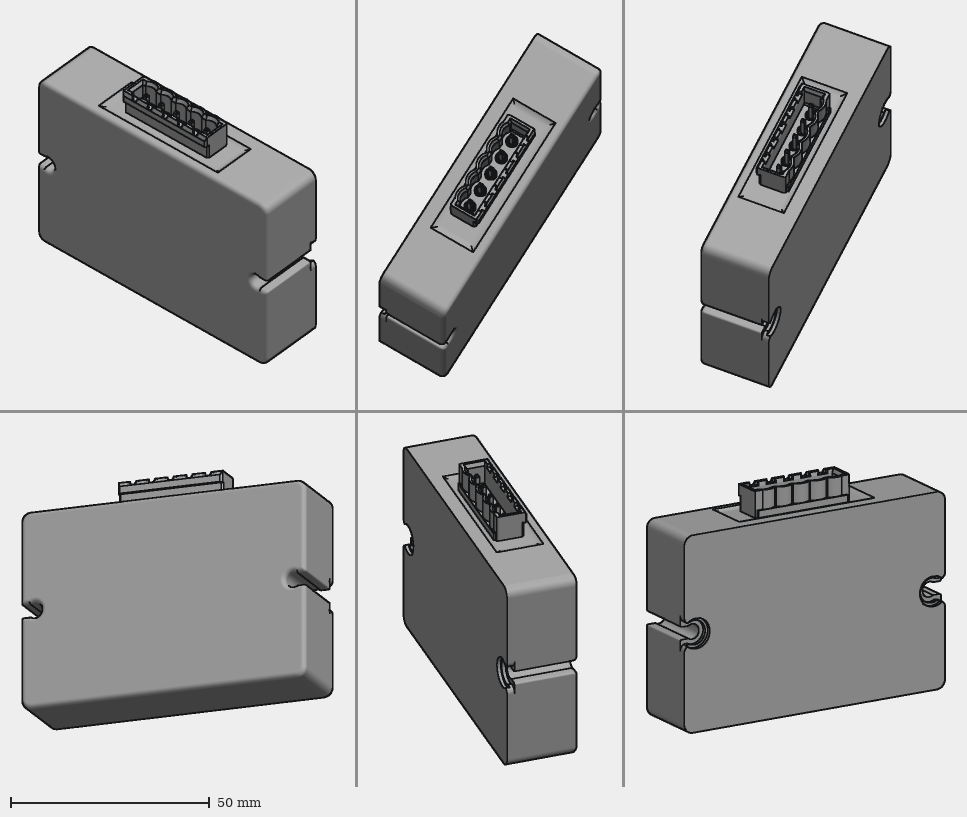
import cadquery as cq

BODY_X = 77.0
BODY_Y = 19.0
BODY_Z = 52.0
CORNER_R = 2.5
FRONT_EDGE_R = 1.25
FRONT_Y = -BODY_Y / 2
BACK_Y = BODY_Y / 2
TOP_Z = BODY_Z / 2

SLOT_DEPTH_TO_CENTER = 3.5
SLOT_CENTER_X = BODY_X / 2 - SLOT_DEPTH_TO_CENTER
SLOT_R = 2.0
SLOT_WIDTH = 3.35
SLOT_MOUTH_R = 0.5
SEAT_R = SLOT_R + FRONT_EDGE_R
SEAT_WIDTH = 5.8
SEAT_DEPTH = 2.0
SEAT_MOUTH_R = 1.65
SEAT_STEP_R = 4.0
SEAT_STEP_DEPTH = 1.0

RECESS_X = 40.0
RECESS_Y = 12.5
RECESS_CENTER_Y = -0.65
RECESS_INSET = 1.8
RECESS_DEPTH = 0.5

PIN_COUNT = 5
PITCH = 5.08
PIN_XS = [(i - (PIN_COUNT - 1) / 2) * PITCH for i in range(PIN_COUNT)]
HEADER_X = 28.15
HEADER_HEIGHT = 6.5
HEADER_TOP = TOP_Z + HEADER_HEIGHT
HEADER_BASE = TOP_Z - RECESS_DEPTH
HEADER_FRONT_Y = -3.9
HEADER_END_Y = 3.42
SCALLOP_VALLEY_Y = 2.94
SCALLOP_R = 3.75
HEADER_CORNER = 0.5
REAR_CORNER_X = 0.2
REAR_CORNER_Y = 0.7

FLANGE_X = 26.4
FLANGE_BACK_Y = 3.95
FLANGE_HEIGHT = 1.4

LIP_FRONT_Y = -4.75
LIP_HEIGHT = 3.0
LIP_SLOPE_Y = 0.55
LIP_SLOPE_Z = 1.15
NOTCH_TOP_WIDTH = 1.75
NOTCH_BOTTOM_WIDTH = 1.2
NOTCH_DEPTH = 1.0
RELIEF_WIDTH = 2.8
RELIEF_FRONT_Y = -4.0

CAVITY_FLOOR = TOP_Z
CAVITY_X = 25.6
CAVITY_FRONT_Y = -3.06
CAVITY_BACK_Y = 1.74
CAVITY_R = 2.5
RIM_X = 26.8
RIM_FRONT_Y = -3.3
RIM_BACK_Y = 2.4
RIM_R = 3.1
RIM_DEPTH = 1.1
FLOOR_BEVEL = 0.4

PIN_WIDTH = 1.0
PIN_TOP = HEADER_TOP - 1.5
PIN_TIP_WIDTH = 0.1
PIN_TIP_HEIGHT = 0.7
HOLE_R = 1.5
HOLE_INNER_R = 1.3
FUNNEL_TOP_WIDTH = 2.0
FUNNEL_BOTTOM_WIDTH = 1.2
PIN_HOLE_STEP = 0.3
PIN_HOLE_LEVELS = 3
PIN_BASE = CAVITY_FLOOR - PIN_HOLE_LEVELS * PIN_HOLE_STEP


def block(x_min, x_max, y_min, y_max, z_min, z_max):
    """Box given by its limits along each axis."""
    box = cq.Workplane("XY").box(x_max - x_min, y_max - y_min, z_max - z_min, centered=False)
    return box.translate((x_min, y_min, z_min))


def round_at(x, radius, z_min, z_max):
    """Upright cylinder at a pin position."""
    return cq.Workplane("XY", origin=(x, 0, z_min)).circle(radius).extrude(z_max - z_min)


def scalloped(width, front_y, back_y, radius, z_min, z_max):
    """Upright block whose back bulges out around every pin."""
    shape = block(-width / 2, width / 2, front_y, back_y, z_min, z_max)
    for x in PIN_XS:
        bulge = round_at(x, radius, z_min, z_max)
        limit = block(-width / 2, width / 2, 0, radius, z_min, z_max)
        shape = shape.union(bulge.intersect(limit))
    return shape


def side_slot(center_x, radius, width, y_min, y_max):
    """Slot running from a round end out through the nearer short side."""
    depth = y_max - y_min
    outward = 1 if center_x > 0 else -1
    reach = BODY_X / 2 - abs(center_x)
    plane = cq.Workplane("XZ", origin=(center_x, y_max, 0))
    end = plane.circle(radius).extrude(depth)
    channel = plane.center(outward * reach / 2, 0).rect(reach, width).extrude(depth)
    return end.union(channel)


def mouth_edges(width):
    """Selector for the four edges along Y where slots of this width leave the sides."""
    tolerance = 0.05
    selector = None
    for x in (-BODY_X / 2, BODY_X / 2):
        for z in (-width / 2, width / 2):
            low = (x - tolerance, -BODY_Y, z - tolerance)
            high = (x + tolerance, BODY_Y, z + tolerance)
            box = cq.selectors.BoxSelector(low, high)
            selector = box if selector is None else selector + box
    return selector


def make_housing():
    """Rounded box with a screw slot and a two-step screw-head seat in each short side."""
    body = cq.Workplane("XY").box(BODY_X, BODY_Y, BODY_Z)
    body = body.edges("|Y").fillet(CORNER_R)
    for x in (-SLOT_CENTER_X, SLOT_CENTER_X):
        body = body.cut(side_slot(x, SLOT_R, SLOT_WIDTH, FRONT_Y, BACK_Y))
    body = body.faces("<Y").edges().fillet(FRONT_EDGE_R)
    for x in (-SLOT_CENTER_X, SLOT_CENTER_X):
        body = body.cut(side_slot(x, SEAT_R, SEAT_WIDTH, BACK_Y - SEAT_DEPTH, BACK_Y))
        body = body.cut(side_slot(x, SEAT_STEP_R, SEAT_WIDTH, BACK_Y - SEAT_STEP_DEPTH, BACK_Y))
    body = body.edges("|Y").edges(mouth_edges(SEAT_WIDTH)).fillet(SEAT_MOUTH_R)
    body = body.edges("|Y").edges(mouth_edges(SLOT_WIDTH)).fillet(SLOT_MOUTH_R)
    return body


def recess_profile(plane, width, length):
    """Bar with a dished section: flat floor, arcs tangent to it rising to the top face."""
    half = width / 2
    floor_half = half - RECESS_INSET
    radius = (RECESS_INSET**2 + RECESS_DEPTH**2) / (2 * RECESS_DEPTH)
    return (
        plane.moveTo(-half, 0)
        .radiusArc((-floor_half, -RECESS_DEPTH), -radius)
        .lineTo(floor_half, -RECESS_DEPTH)
        .radiusArc((half, 0), -radius)
        .close()
        .extrude(length / 2, both=True)
    )


def make_recess():
    """Shallow dished recess around the header, mitred at its corners."""
    center = (0, RECESS_CENTER_Y, TOP_Z)
    along_y = recess_profile(cq.Workplane("XZ", origin=center), RECESS_X, RECESS_Y)
    along_x = recess_profile(cq.Workplane("YZ", origin=center), RECESS_Y, RECESS_X)
    return along_y.intersect(along_x)


def rear_corner(side):
    """Sliver removed from a back corner of the header, on the side given by its sign."""
    edge = side * HEADER_X / 2
    return (
        cq.Workplane("XY", origin=(0, 0, HEADER_BASE))
        .moveTo(edge, HEADER_END_Y)
        .lineTo(edge, HEADER_END_Y - REAR_CORNER_Y)
        .lineTo(edge - side * REAR_CORNER_X, HEADER_END_Y)
        .close()
        .extrude(HEADER_TOP - HEADER_BASE)
    )


def make_shell():
    """Outside of the header: scalloped back, plain ends, base flange."""
    shell = scalloped(HEADER_X, HEADER_FRONT_Y, SCALLOP_VALLEY_Y, SCALLOP_R, HEADER_BASE, HEADER_TOP)
    for side in (-1, 1):
        inner = side * PIN_XS[-1]
        outer = side * HEADER_X / 2
        end = block(min(inner, outer), max(inner, outer), 0, HEADER_END_Y, HEADER_BASE, HEADER_TOP)
        shell = shell.union(end).cut(rear_corner(side))
    shell = shell.edges("|Z and <Y").chamfer(HEADER_CORNER)
    flange = block(-FLANGE_X / 2, FLANGE_X / 2, 0, FLANGE_BACK_Y, HEADER_BASE, TOP_Z + FLANGE_HEIGHT)
    return shell.union(flange)


def make_lip():
    """Overhanging latch lip along the front, with a sloped top edge."""
    lip = block(-HEADER_X / 2, HEADER_X / 2, LIP_FRONT_Y, 0, HEADER_TOP - LIP_HEIGHT, HEADER_TOP)
    lip = lip.edges("|Z and <Y").chamfer(HEADER_CORNER)
    slope = (
        cq.Workplane("YZ", origin=(-HEADER_X / 2, 0, 0))
        .moveTo(LIP_FRONT_Y, HEADER_TOP)
        .lineTo(LIP_FRONT_Y + LIP_SLOPE_Y, HEADER_TOP)
        .lineTo(LIP_FRONT_Y, HEADER_TOP - LIP_SLOPE_Z)
        .close()
        .extrude(HEADER_X)
    )
    return lip.cut(slope)


def make_notch(x):
    """Tapered notch across the top of the front wall."""
    return (
        cq.Workplane("XZ", origin=(x, 0, HEADER_TOP))
        .moveTo(-NOTCH_TOP_WIDTH / 2, 0)
        .lineTo(-NOTCH_BOTTOM_WIDTH / 2, -NOTCH_DEPTH)
        .lineTo(NOTCH_BOTTOM_WIDTH / 2, -NOTCH_DEPTH)
        .lineTo(NOTCH_TOP_WIDTH / 2, 0)
        .close()
        .extrude(-LIP_FRONT_Y)
    )


def make_relief(x):
    """Shallow relief in the top of the front wall, on the cavity side of a notch."""
    half = RELIEF_WIDTH / 2
    return block(x - half, x + half, RELIEF_FRONT_Y, 0, HEADER_TOP - NOTCH_DEPTH, HEADER_TOP)


def make_rim():
    """Flared mouth of the cavity: a tapered slot with a cone around every pin."""
    rim_z = HEADER_TOP - RIM_DEPTH
    bottom_y = CAVITY_BACK_Y - CAVITY_FRONT_Y
    top_y = RIM_BACK_Y - RIM_FRONT_Y
    bottom_center = (CAVITY_BACK_Y + CAVITY_FRONT_Y) / 2
    top_center = (RIM_BACK_Y + RIM_FRONT_Y) / 2
    rim = (
        cq.Workplane("XY", origin=(0, bottom_center, rim_z))
        .rect(CAVITY_X, bottom_y)
        .workplane(offset=RIM_DEPTH)
        .center(0, top_center - bottom_center)
        .rect(RIM_X, top_y)
        .loft(ruled=True)
    )
    limit = block(-CAVITY_X / 2, CAVITY_X / 2, 0, RIM_R, rim_z, HEADER_TOP)
    for x in PIN_XS:
        cone = cq.Solid.makeCone(CAVITY_R, RIM_R, RIM_DEPTH, cq.Vector(x, 0, rim_z))
        rim = rim.union(cq.Workplane(obj=cone).intersect(limit))
    return rim


def floor_bevel(side):
    """Sloped strip between the cavity floor and one end wall."""
    edge = side * CAVITY_X / 2
    return (
        cq.Workplane("XZ", origin=(0, CAVITY_FRONT_Y, CAVITY_FLOOR))
        .moveTo(edge, 0)
        .lineTo(edge - side * FLOOR_BEVEL, 0)
        .lineTo(edge, FLOOR_BEVEL)
        .close()
        .extrude(CAVITY_FRONT_Y - CAVITY_R)
    )


def make_cavity():
    """Inside of the header, open at the top."""
    rim_z = HEADER_TOP - RIM_DEPTH
    cavity = scalloped(CAVITY_X, CAVITY_FRONT_Y, CAVITY_BACK_Y, CAVITY_R, CAVITY_FLOOR, rim_z)
    for side in (-1, 1):
        cavity = cavity.cut(floor_bevel(side))
    return cavity.union(make_rim())


def square_taper(x, z_bottom, bottom_width, height, top_width):
    """Square frustum standing at a pin position."""
    return (
        cq.Workplane("XY", origin=(x, 0, z_bottom))
        .rect(bottom_width, bottom_width)
        .workplane(offset=height)
        .rect(top_width, top_width)
        .loft(ruled=True)
    )


def make_pin_hole(x):
    """Stepped round hole in the cavity floor, ending in a square funnel around the pin."""
    step_z = CAVITY_FLOOR - PIN_HOLE_STEP
    funnel_z = step_z - PIN_HOLE_STEP
    hole = round_at(x, HOLE_R, step_z, CAVITY_FLOOR)
    hole = hole.union(round_at(x, HOLE_INNER_R, funnel_z, step_z))
    funnel = square_taper(x, PIN_BASE, FUNNEL_BOTTOM_WIDTH, PIN_HOLE_STEP, FUNNEL_TOP_WIDTH)
    return hole.union(funnel.intersect(round_at(x, HOLE_INNER_R, PIN_BASE, funnel_z)))


def make_pin(x):
    """Square contact pin with a pyramid tip."""
    shaft_top = PIN_TOP - PIN_TIP_HEIGHT
    half = PIN_WIDTH / 2
    shaft = block(x - half, x + half, -half, half, PIN_BASE, shaft_top)
    tip = square_taper(x, shaft_top, PIN_WIDTH, PIN_TIP_HEIGHT, PIN_TIP_WIDTH)
    return shaft.union(tip)


result = make_housing().cut(make_recess())
result = result.union(make_shell()).union(make_lip()).cut(make_cavity())
for pin_x in PIN_XS:
    result = result.cut(make_notch(pin_x)).cut(make_relief(pin_x)).cut(make_pin_hole(pin_x))
    result = result.union(make_pin(pin_x))